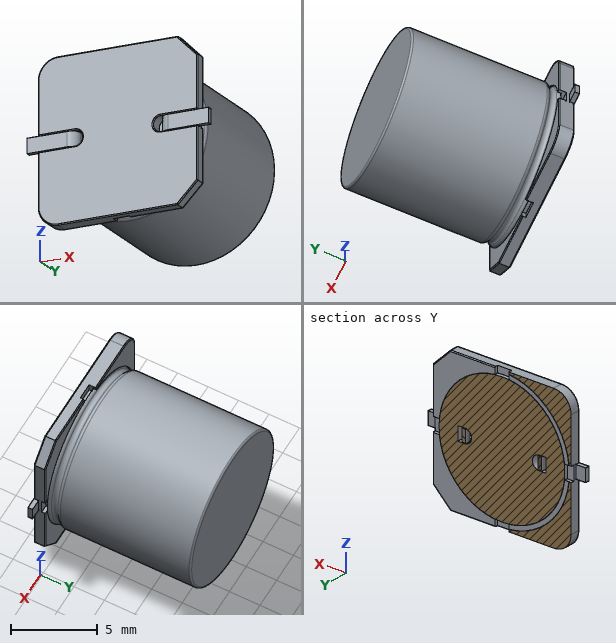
import cadquery as cq
import math

overall_length = 11.7
overall_height = 10.2

base_side = 10.3
rim_height = 0.75
wall_height = 1.0
corner_size = 1.3
edge_chamfer = 0.064
seat_height = 0.8
seat_radius = 4.68
notch_width = 1.03
notch_floor = 0.51

can_radius = 5.0
top_fillet = 0.12
bead_depth = 0.22
bead_height = 0.85

lead_width = 0.95
lead_thickness = 0.3
bend_start = 3.25
bend_radius = 0.58
slot_width = 0.97
slot_end_centre = 2.76

half_side = base_side / 2
half_length = overall_length / 2


def plane_at(height):
    """XZ plane at the given height."""
    return cq.Workplane("XZ", origin=(0, height, 0))


def disc(radius, bottom, top):
    """Disc about the can axis between two heights."""
    return plane_at(bottom).circle(radius).extrude(bottom - top)


def block(x_start, x_end, width, bottom, top):
    """Block between two X positions and two heights, centred on Z = 0."""
    sketch = plane_at(bottom).center((x_start + x_end) / 2, 0).rect(x_end - x_start, width)
    return sketch.extrude(bottom - top)


def plate(height):
    """Square plate rounded at its -X corners and bevelled at its +X corners."""
    blank = block(-half_side, half_side, base_side, 0, height)
    blank = blank.edges("|Y and <X").fillet(corner_size)
    blank = blank.edges("|Y and >X").chamfer(corner_size)
    return blank.faces(">Y").edges().chamfer(edge_chamfer)


def lead_slot():
    """Cutter for the -X lead: shallow under the foot, open up to the can around the leg."""
    foot_channel = block(-half_side, -slot_end_centre, slot_width, 0, lead_thickness)
    leg_well = block(-bend_start, -slot_end_centre, slot_width, 0, seat_height)
    round_end = disc(slot_width / 2, 0, seat_height).translate((-slot_end_centre, 0, 0))
    return foot_channel.union(leg_well).union(round_end)


def rim_notch(angle):
    """Cutter for one notch, running from the rim to the seat; angle 0 is on +X."""
    notch = block(0, half_side, notch_width, notch_floor, wall_height)
    notch = notch.cut(disc(seat_radius, 0, wall_height))
    return notch.rotate((0, 0, 0), (0, 1, 0), angle)


def make_base():
    """Plate with a wall around the -X half of the can and a raised round seat under it."""
    wall_zone = block(-half_side, -notch_width / 2, base_side, 0, wall_height)
    wall = plate(wall_height).intersect(wall_zone).cut(disc(can_radius, rim_height, wall_height))
    base = plate(rim_height).union(wall).union(disc(seat_radius, 0, seat_height))
    for angle in (0, 90, 180, 270):
        base = base.cut(rim_notch(angle))
    slot = lead_slot()
    base = base.cut(slot).cut(slot.mirror("YZ"))
    return base.faces("<Y").edges().chamfer(edge_chamfer)


def make_can():
    """Revolved can with a rolled bead made of tangent arcs that all share one radius."""
    neck_radius = can_radius - bead_depth
    flank_radius = can_radius - bead_depth / 2
    bead_top = seat_height + bead_height
    bead_middle = seat_height + bead_height / 2
    arc_height = bead_height / 4
    lower_flank = seat_height + arc_height
    upper_flank = bead_top - arc_height
    arc_angle = 2 * math.atan(bead_depth / 2 / arc_height)
    arc_radius = arc_height / math.sin(arc_angle)
    bulge_x = arc_radius * (1 - math.cos(arc_angle / 2))
    bulge_y = arc_radius * math.sin(arc_angle / 2)
    profile = (
        cq.Workplane("XY")
        .moveTo(0, seat_height)
        .lineTo(can_radius, seat_height)
        .threePointArc((can_radius - bulge_x, seat_height + bulge_y), (flank_radius, lower_flank))
        .threePointArc((neck_radius, bead_middle), (flank_radius, upper_flank))
        .threePointArc((can_radius - bulge_x, bead_top - bulge_y), (can_radius, bead_top))
        .lineTo(can_radius, overall_height)
        .lineTo(0, overall_height)
        .close()
    )
    can = profile.revolve(360, (0, 0, 0), (0, 1, 0))
    return can.faces(">Y").edges().fillet(top_fillet)


def make_lead():
    """Strip on -X: a flat foot on the mounting face, bent up into a leg that meets the can."""
    inner_radius = bend_radius - lead_thickness
    leg_face = bend_radius - bend_start
    leg_back = leg_face - lead_thickness
    diagonal = math.sqrt(0.5)
    profile = (
        cq.Workplane("XY")
        .moveTo(-half_length, 0)
        .lineTo(-bend_start, 0)
        .threePointArc(
            (-bend_start + bend_radius * diagonal, bend_radius * (1 - diagonal)),
            (leg_face, bend_radius),
        )
        .lineTo(leg_face, seat_height)
        .lineTo(leg_back, seat_height)
        .lineTo(leg_back, bend_radius)
        .threePointArc(
            (-bend_start + inner_radius * diagonal, bend_radius - inner_radius * diagonal),
            (-bend_start, lead_thickness),
        )
        .lineTo(-half_length, lead_thickness)
        .close()
    )
    return profile.extrude(lead_width / 2, both=True)


base = make_base()
can = make_can()
leads = []
for turn in (0, 180):
    leads.append(make_lead().rotate((0, 0, 0), (0, 1, 0), turn).val())

result = cq.Compound.makeCompound([base.val(), can.val(), *leads])